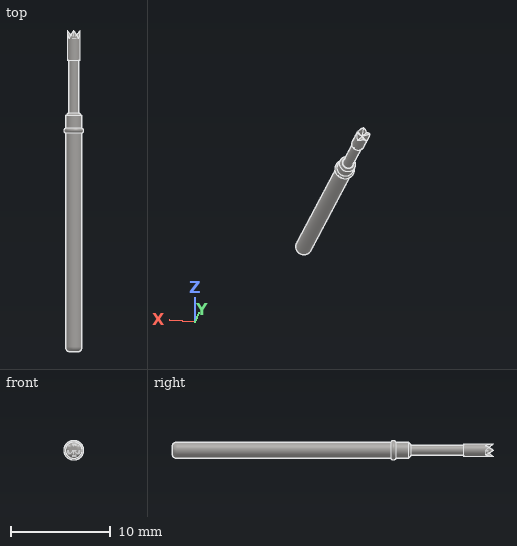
import cadquery as cq
import math

total_length = 32.3
collar_diameter = 2.0
collar_width = 0.5
barrel_diameter = 1.65
barrel_end_radius = 0.45
shoulder_length = 1.75
shoulder_chamfer = 0.25
neck_diameter = 1.05
neck_length = 5.3
head_diameter = 1.3
head_length = 3.0
crown_groove_angle = 60.0
crown_groove_count = 2

collar_radius = collar_diameter / 2
barrel_radius = barrel_diameter / 2
neck_radius = neck_diameter / 2
head_radius = head_diameter / 2

shoulder_end = shoulder_length
head_start = shoulder_end + neck_length
tip = head_start + head_length
barrel_end = tip - total_length


def make_barrel():
    """Barrel with a rounded closed end, a half-round collar and a chamfered shoulder."""
    arc_middle = barrel_end_radius * (1 - math.sqrt(0.5))
    half_collar = collar_width / 2
    profile = (
        cq.Workplane("XY")
        .moveTo(0, barrel_end)
        .lineTo(barrel_radius - barrel_end_radius, barrel_end)
        .threePointArc(
            (barrel_radius - arc_middle, barrel_end + arc_middle),
            (barrel_radius, barrel_end + barrel_end_radius),
        )
        .lineTo(barrel_radius, -half_collar)
        .threePointArc((collar_radius, 0), (barrel_radius, half_collar))
        .lineTo(barrel_radius, shoulder_end - shoulder_chamfer)
        .lineTo(barrel_radius - shoulder_chamfer, shoulder_end)
        .lineTo(0, shoulder_end)
        .close()
    )
    return profile.revolve(360, (0, 0, 0), (0, 1, 0))


def make_plunger():
    """Thin neck carrying the thicker head."""
    profile = (
        cq.Workplane("XY")
        .moveTo(0, 0)
        .lineTo(neck_radius, 0)
        .lineTo(neck_radius, head_start)
        .lineTo(head_radius, head_start)
        .lineTo(head_radius, tip)
        .lineTo(0, tip)
        .close()
    )
    return profile.revolve(360, (0, 0, 0), (0, 1, 0))


def make_crown_groove(turn):
    """V groove across the tip whose flanks meet the rim at the crown points."""
    half_width = head_radius * math.sin(math.pi / (2 * crown_groove_count))
    depth_per_width = 1 / math.tan(math.radians(crown_groove_angle / 2))
    bottom = tip - half_width * depth_per_width
    top = tip + head_diameter
    flank = (top - bottom) / depth_per_width
    return (
        cq.Workplane("XY")
        .polyline([(0, bottom), (flank, top), (-flank, top)])
        .close()
        .extrude(head_diameter, both=True)
        .rotate((0, 0, 0), (0, 1, 0), turn)
    )


result = make_barrel().union(make_plunger())

groove_step = 180 / crown_groove_count
for index in range(crown_groove_count):
    result = result.cut(make_crown_groove(groove_step * (index + 0.5)))